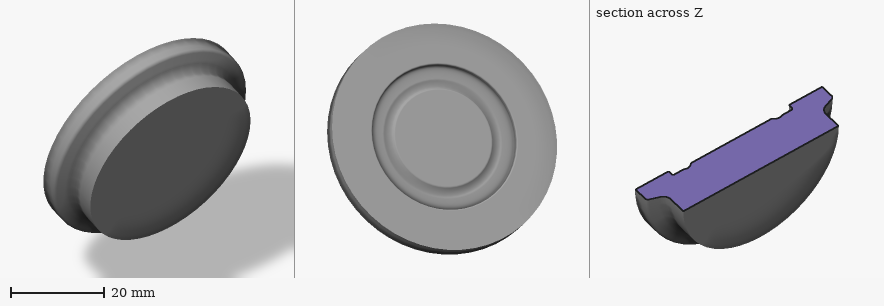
import cadquery as cq
import math

flange_radius = 50.5 / 2
neck_radius = 42.0 / 2
total_length = 11.5

rim_width = 3.5
rim_fillet = 0.8
neck_start = 7.0
root_fillet = 2.0
taper_angle = math.radians(20)

recess_radius = 32.4 / 2
recess_depth = 1.5
recess_lip_fillet = 0.3
recess_floor_fillet = 0.4

pad_radius = 10.75
groove_inner_radius = 11.14
groove_outer_radius = 13.04
floor_inner_radius = 13.42
inner_wall_angle = math.radians(50)
outer_wall_angle = math.radians(25)


def point_on_arc(center, radius, angle):
    """Point at the given angle from +X on an arc around center."""
    center_x, center_y = center
    return (center_x + radius * math.cos(angle), center_y + radius * math.sin(angle))


def make_body():
    """Solid flange with a tapered back that blends into the neck."""
    rim_center = (rim_width, flange_radius - rim_fillet)
    taper_top = point_on_arc(rim_center, rim_fillet, taper_angle)

    root_center = (neck_start, neck_radius + root_fillet)
    taper_bottom = point_on_arc(root_center, root_fillet, math.pi + taper_angle)

    return (
        cq.Workplane("XY")
        .lineTo(0, flange_radius)
        .lineTo(rim_width, flange_radius)
        .radiusArc(taper_top, rim_fillet)
        .lineTo(*taper_bottom)
        .radiusArc((neck_start, neck_radius), -root_fillet)
        .lineTo(total_length, neck_radius)
        .lineTo(total_length, 0)
        .close()
        .revolve(360, (0, 0, 0), (1, 0, 0))
    )


def make_recess():
    """Round pocket whose floor dips into a ring groove around a raised central pad."""
    groove_width = groove_outer_radius - groove_inner_radius
    groove_bottom_radius = groove_width / (math.sin(outer_wall_angle) + math.sin(inner_wall_angle))
    floor_edge_fillet = (floor_inner_radius - groove_outer_radius) / math.sin(outer_wall_angle)
    pad_edge_fillet = (groove_inner_radius - pad_radius) / math.sin(inner_wall_angle)

    outer_edge_depth = recess_depth + floor_edge_fillet * (1 - math.cos(outer_wall_angle))
    groove_rise = groove_bottom_radius * (math.cos(outer_wall_angle) - math.cos(inner_wall_angle))
    inner_edge_depth = outer_edge_depth - groove_rise
    pad_depth = inner_edge_depth - pad_edge_fillet * (1 - math.cos(inner_wall_angle))

    return (
        cq.Workplane("XY")
        .lineTo(0, recess_radius + recess_lip_fillet)
        .radiusArc((recess_lip_fillet, recess_radius), -recess_lip_fillet)
        .lineTo(recess_depth - recess_floor_fillet, recess_radius)
        .radiusArc((recess_depth, recess_radius - recess_floor_fillet), recess_floor_fillet)
        .lineTo(recess_depth, floor_inner_radius)
        .radiusArc((outer_edge_depth, groove_outer_radius), -floor_edge_fillet)
        .radiusArc((inner_edge_depth, groove_inner_radius), groove_bottom_radius)
        .radiusArc((pad_depth, pad_radius), -pad_edge_fillet)
        .lineTo(pad_depth, 0)
        .close()
        .revolve(360, (0, 0, 0), (1, 0, 0))
    )


result = make_body().cut(make_recess())